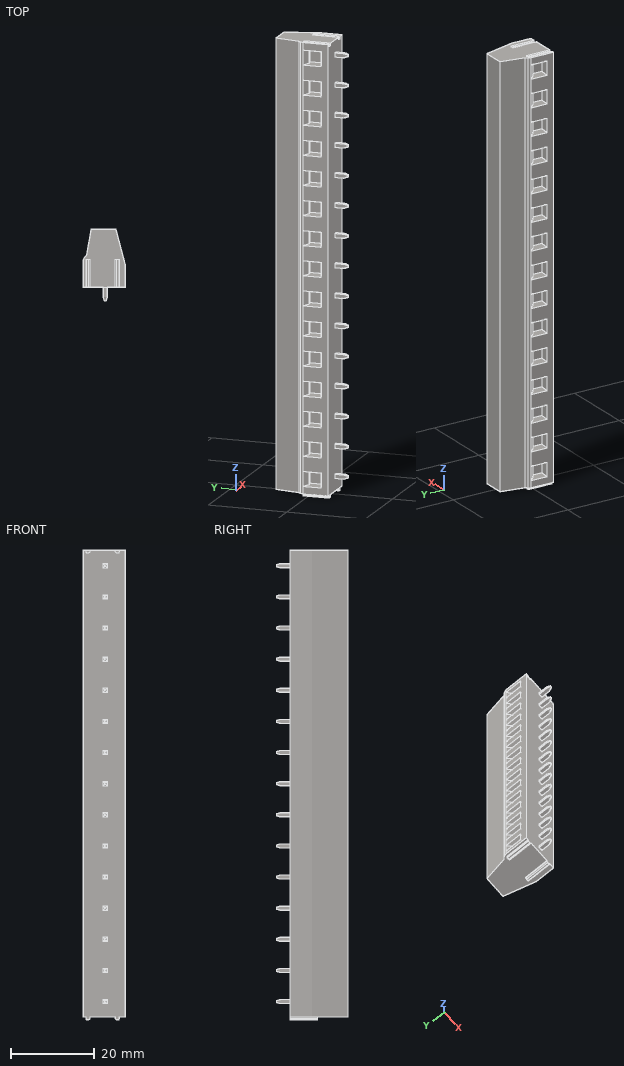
import cadquery as cq

pole_count = 15
block_width = 10.2
block_depth = 14.0
block_height = 112.4
pole_pitch = block_height / pole_count
wall_x = block_width / 2

crown_left = -3.2
crown_right = 2.8
right_shoulder_y = 5.4
left_wall_top_y = 6.5
shelf_outer_x = -4.9
shelf_outer_y = 7.1
shelf_inner_x = -4.3
shelf_inner_y = 7.7

entry_bottom_y = 1.8
entry_top_y = left_wall_top_y
entry_height = 3.7
entry_floor_bottom_y = 2.3
entry_ceiling_y = 5.2
entry_chamfer_depth = 1.0
entry_floor_height = 2.7
entry_depth = 1.7

pin_x = 0.2
pin_size = 1.0
pin_length = 3.3
pin_tip_length = 0.9
pin_tip_size = 0.5

rail_height = 0.7
rail_root_height = 0.3
rail_length = 6.7
rail_width = 1.0
rail_tip_end = 0.7
rail_tip_inset = 0.1
rail_left_x = -4.4
rail_right_x = 3.6


def make_block():
    outline = [
        (-wall_x, 0),
        (wall_x, 0),
        (wall_x, right_shoulder_y),
        (crown_right, block_depth),
        (crown_left, block_depth),
        (shelf_inner_x, shelf_inner_y),
        (shelf_outer_x, shelf_outer_y),
        (-wall_x, left_wall_top_y),
    ]
    return cq.Workplane("XY").polyline(outline).close().extrude(block_height)


def make_entry(center_z):
    """Tapered pocket running inward from the -X wall, its ceiling opened up by a chamfer at the mouth."""
    mouth_span = entry_top_y - entry_bottom_y
    floor_span = entry_top_y - entry_floor_bottom_y
    taper = (
        cq.Workplane("YZ", origin=(-wall_x, entry_top_y, center_z))
        .center(-mouth_span / 2, 0)
        .rect(mouth_span, entry_height)
        .workplane(offset=entry_depth)
        .center((mouth_span - floor_span) / 2, 0)
        .rect(floor_span, entry_floor_height)
        .loft(ruled=True)
    )
    side_profile = [
        (-wall_x, entry_bottom_y),
        (-wall_x, entry_top_y),
        (-wall_x + entry_chamfer_depth, entry_ceiling_y),
        (-wall_x + entry_depth, entry_ceiling_y),
        (-wall_x + entry_depth, entry_bottom_y),
    ]
    ceiling_limit = (
        cq.Workplane("XY", origin=(0, 0, center_z - entry_height / 2))
        .polyline(side_profile)
        .close()
        .extrude(entry_height)
    )
    return taper.intersect(ceiling_limit)


def make_pin(center_z):
    """Pin along -Y, ending in a short pyramid frustum."""
    shank_length = pin_length - pin_tip_length
    shank = (
        cq.Workplane("XZ", origin=(pin_x, 0, center_z))
        .rect(pin_size, pin_size)
        .extrude(shank_length)
    )
    tip = (
        cq.Workplane("XZ", origin=(pin_x, -shank_length, center_z))
        .rect(pin_size, pin_size)
        .workplane(offset=pin_tip_length)
        .rect(pin_tip_size, pin_tip_size)
        .loft(ruled=True)
    )
    return shank.union(tip)


def make_rail(outer_x, inward, base_z):
    """Rail hanging below base_z: upright root, then a tip that narrows mostly on the inner side."""
    section = [
        (outer_x, base_z),
        (outer_x, base_z - rail_root_height),
        (outer_x + inward * rail_tip_inset, base_z - rail_height),
        (outer_x + inward * rail_tip_end, base_z - rail_height),
        (outer_x + inward * rail_width, base_z - rail_root_height),
        (outer_x + inward * rail_width, base_z),
    ]
    return cq.Workplane("XZ").polyline(section).close().extrude(-rail_length)


result = make_block()

for pole in range(pole_count):
    pole_z = (pole + 0.5) * pole_pitch
    result = result.cut(make_entry(pole_z)).union(make_pin(pole_z))

for outer_x, inward in ((rail_left_x, 1), (rail_right_x, -1)):
    result = result.union(make_rail(outer_x, inward, 0))
    result = result.cut(make_rail(outer_x, inward, block_height))